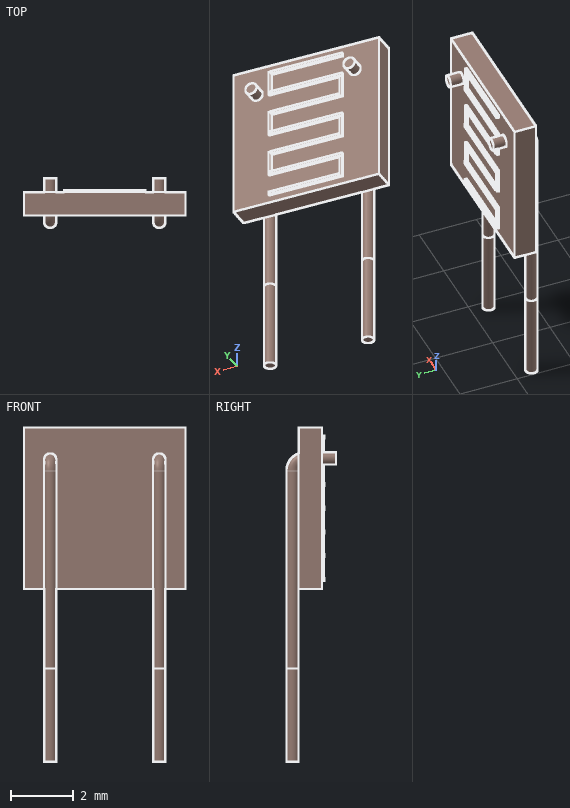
import cadquery as cq

TOTAL_HEIGHT = 10.75
PLATE_SIDE = 5.2
PLATE_THICKNESS = 0.75
PLATE_BOTTOM = TOTAL_HEIGHT - PLATE_SIDE

WIRE_DIAMETER = 0.4
WIRE_RADIUS = WIRE_DIAMETER / 2
LEAD_SPACING = 3.5
BEND_RADIUS = WIRE_DIAMETER
PIN_DEPTH_FROM_TOP = 1.0
PIN_PROJECTION = 0.45
TIP_LENGTH = 3.0
PIN_HEIGHT = TOTAL_HEIGHT - PIN_DEPTH_FROM_TOP
BEND_BOTTOM = PIN_HEIGHT - BEND_RADIUS
LEAD_POSITIONS = (-LEAD_SPACING / 2, LEAD_SPACING / 2)

TRACK_WIDTH = 0.1
LEG_THICKNESS = 0.08
LINK_THICKNESS = 0.05
TRACK_SPAN = 2.62
TRACK_HEIGHT = 4.67
LEG_COUNT = 7
LEG_PITCH = (TRACK_HEIGHT - TRACK_WIDTH) / (LEG_COUNT - 1)


def make_lead(x):
    """One lead, from the joint with its tip up to its rear end."""
    bend_y = BEND_RADIUS - WIRE_RADIUS
    straight = cq.Workplane("XY", origin=(x, -WIRE_RADIUS, TIP_LENGTH)).circle(WIRE_RADIUS)
    straight = straight.extrude(BEND_BOTTOM - TIP_LENGTH)
    bend = cq.Workplane("XY", origin=(x, -WIRE_RADIUS, BEND_BOTTOM)).circle(WIRE_RADIUS)
    bend = bend.revolve(90, (0, BEND_RADIUS, 0), (-1, BEND_RADIUS, 0))
    pin_length = PLATE_THICKNESS + PIN_PROJECTION - bend_y
    pin = cq.Workplane("XZ", origin=(x, bend_y, PIN_HEIGHT)).circle(WIRE_RADIUS).extrude(-pin_length)
    return straight.union(bend).union(pin)


def make_tip(x):
    """The separate lower end of a lead."""
    return cq.Workplane("XY", origin=(x, -WIRE_RADIUS, 0)).circle(WIRE_RADIUS).extrude(TIP_LENGTH)


def make_plate(leads):
    """The plate, with a passage where each lead goes through it."""
    plate = cq.Workplane("XY", origin=(0, PLATE_THICKNESS / 2, PLATE_BOTTOM)).box(
        PLATE_SIDE, PLATE_THICKNESS, PLATE_SIDE, centered=(True, True, False)
    )
    for lead in leads:
        plate = plate.cut(lead)
    return plate


def track_bar(left, right, bottom, top, thickness):
    """A flat bar lying on the back face of the plate."""
    bar = cq.Workplane("XY", origin=(left, PLATE_THICKNESS, bottom))
    return bar.box(right - left, thickness, top - bottom, centered=False)


def make_track():
    """Horizontal legs joined at alternate ends by links that are slightly thinner.

    Even legs run the full span. Each link takes up the corner it shares with an odd leg,
    so odd legs stop short of their links.
    """
    left_end = -TRACK_SPAN / 2
    right_end = TRACK_SPAN / 2
    track_top = PLATE_BOTTOM + (PLATE_SIDE + TRACK_HEIGHT) / 2
    track = cq.Workplane("XY")
    for number in range(1, LEG_COUNT + 1):
        odd_leg = number % 2 == 1
        left = left_end
        right = right_end
        if odd_leg and number > 1:
            left += TRACK_WIDTH
        if odd_leg and number < LEG_COUNT:
            right -= TRACK_WIDTH
        top = track_top - (number - 1) * LEG_PITCH
        bottom = top - TRACK_WIDTH
        track = track.union(track_bar(left, right, bottom, top, LEG_THICKNESS))

        if number < LEG_COUNT:
            next_top = top - LEG_PITCH
            if odd_leg:
                link = track_bar(right_end - TRACK_WIDTH, right_end, next_top, top, LINK_THICKNESS)
            else:
                next_bottom = next_top - TRACK_WIDTH
                link = track_bar(left_end, left_end + TRACK_WIDTH, next_bottom, bottom, LINK_THICKNESS)
            track = track.union(link)
    return track


leads = [make_lead(x) for x in LEAD_POSITIONS]
tips = [make_tip(x) for x in LEAD_POSITIONS]
plate = make_plate(leads)
track = make_track()

result = cq.Compound.makeCompound(
    [plate.val(), track.val(), *[lead.val() for lead in leads], *[tip.val() for tip in tips]]
)